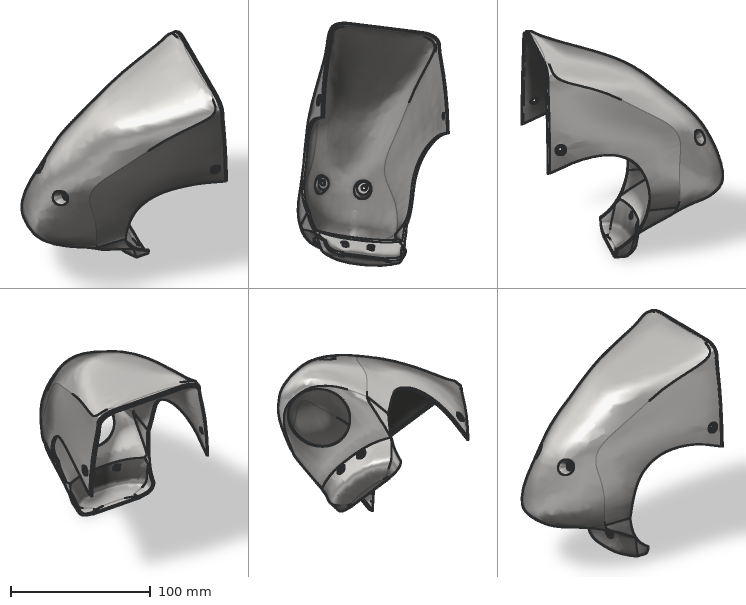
import cadquery as cq
import math

WALL = 1.6
LIP_LENGTH = 1.6
LIP_STEP = 0.8
SIDE_SHARE = 0.6
FRONT_SHARES = (0, 0.3, 0.6, 0.85, 1)
REACH = 318.3

HOOD_AND_NOSE = [
    (159.1, -4.1, 25.5, -2.4, 27.0, 0.0, 3.0),
    (156.9, -12.7, 36.0, -4.8, 37.0, 0.0, 3.0),
    (148.8, -38.7, 39.8, -12.7, 41.0, 0.2, 2.8),
    (135.7, -73.2, 35.5, -43.0, 42.8, 1.1, 2.5),
    (116.2, -97.2, 31.2, -74.2, 45.4, 4.5, 2.3),
    (93.1, -120.2, 28.6, -99.8, 47.0, 6.7, 2.0),
    (74.8, -130.5, 34.5, -99.0, 47.6, 3.8, 2.2),
    (58.1, -136.2, 37.5, -98.5, 46.8, 1.8, 2.6),
    (48.5, -136.5, 37.4, -98.5, 44.5, 0.5, 2.7),
    (41.5, -130.7, 35.8, -96.8, 41.4, 0.0, 2.7),
]
UNDERSIDE = [
    (36.6, -107.4, 35.6, -93.1, 39.8, 0.0, 2.6),
    (29.6, -85.5, 34.7, -80.4, 38.2, 0.0, 2.6),
    (22.5, -75.1, 33.4, -68.5, 35.0, 0.0, 2.6),
]
CHIN = [
    (17.8, -74.3, 32.1, -66.5, 33.4, 0.0, 2.6),
    (12.7, -73.7, 31.0, -65.2, 31.5, 0.0, 2.6),
    (4.8, -72.4, 28.6, -62.9, 29.0, 0.0, 2.6),
    (1.6, -68.7, 24.3, -60.5, 24.8, 0.0, 2.6),
    (0.0, -58.1, 19.1, -55.7, 19.9, 0.0, 2.6),
]
STATIONS = HOOD_AND_NOSE + UNDERSIDE + CHIN
NOSE_END = len(HOOD_AND_NOSE) - 1
CHIN_START = NOSE_END + len(UNDERSIDE)
STRETCHES = [(0, NOSE_END), (NOSE_END, CHIN_START), (CHIN_START, len(STATIONS) - 1)]

ARCH_BACK = (0.0, 80.5)
ARCH_START = (-17.3, 87.5)
ARCH_CURVE = [(-37.9, 91.2), (-53.6, 88.5), (-67.6, 77.7), (-76.0, 50.6), (-71.5, 29.0), (-54.3, 10.0)]
CHIN_BACK_Y = ARCH_CURVE[-1][0]

OPENING_DIAMETER = 45.0
OPENING_CENTRE = (0, -108.5, 36.3)
OPENING_DEPTH = 14.3

SCREW_HOLE_DIAMETER = 3.5
SEAT_FLOOR_DIAMETER = 6.0
SEAT_MOUTH_DIAMETER = 8.3
SEAT_DEPTH = 1.3
NOSE_SEAT_FLOOR = (15.5, -112.7, 85.1)
NOSE_SEAT_AXIS = (0.4, -1, 0.36)
NOSE_SEAT_MOUTH_DIAMETER = 13.7
NOSE_SEAT_DEPTH = 7.2
CHIN_SEAT_FLOOR = (10.0, -73.2, 17.8)
SIDE_SEAT_FLOOR = (46.3, -9.2, 98.7)


def section(station, inset, shift_y, shift_z):
    """U-shaped wire of one station, narrowed by inset and moved by the two shifts."""
    height, front_y, shoulder_x, shoulder_y, back_x, bulge, fullness = station
    side_x = back_x + SIDE_SHARE * (shoulder_x - back_x) + bulge - inset
    side_y = SIDE_SHARE * shoulder_y + shift_y
    shoulder_x -= inset
    back_x -= inset

    def point(x, y):
        return cq.Vector(x, y, height + shift_z)

    half_front = []
    for share in FRONT_SHARES:
        forward = (front_y - shoulder_y) * (1 - share**fullness)
        half_front.append((share * shoulder_x, shoulder_y + shift_y + forward))
    right_front = [point(x, y) for x, y in half_front]
    left_front = [point(-x, y) for x, y in half_front[:0:-1]]
    left_back = point(-back_x, 0)
    right_back = point(back_x, 0)
    return cq.Wire.assembleEdges([
        cq.Edge.makeLine(right_back, left_back),
        cq.Edge.makeSpline([left_back, point(-side_x, side_y), left_front[0]]),
        cq.Edge.makeSpline(left_front + right_front),
        cq.Edge.makeSpline([right_front[-1], point(side_x, side_y), right_back]),
    ])


def body(inset):
    """Solid bounded by the outer skin moved inward by inset."""
    wires = []
    for index, station in enumerate(STATIONS):
        above = STATIONS[max(index - 1, 0)]
        below = STATIONS[min(index + 1, len(STATIONS) - 1)]
        along_y = below[1] - above[1]
        along_z = below[0] - above[0]
        length = math.hypot(along_y, along_z)
        wires.append(section(station, inset, -along_z / length * inset, along_y / length * inset))
    solid = cq.Workplane()
    for first, last in STRETCHES:
        solid = solid.add(cq.Solid.makeLoft(wires[first:last + 1]))
    return solid.combine()


def lip_cutter():
    """Ring that steps the skin in along its back edge."""
    slab = cq.Workplane().box(REACH, 2 * LIP_LENGTH, 2 * REACH)
    return slab.cut(body(LIP_STEP))


def arch_cutter():
    """Everything behind and below the wheel arch."""
    return (
        cq.Workplane("YZ")
        .moveTo(*ARCH_BACK)
        .lineTo(*ARCH_START)
        .spline(ARCH_CURVE, includeCurrent=True)
        .lineTo(CHIN_BACK_Y, -REACH)
        .lineTo(REACH, -REACH)
        .lineTo(REACH, ARCH_BACK[1])
        .close()
        .extrude(REACH, both=True)
    )


def opening_cutter():
    """Cylinder square to the sloping underside of the nose."""
    nose_edge = HOOD_AND_NOSE[-1]
    rear_edge = UNDERSIDE[1]
    axis = cq.Vector(0, nose_edge[0] - rear_edge[0], rear_edge[1] - nose_edge[1]).normalized()
    start = cq.Vector(*OPENING_CENTRE) - axis * (OPENING_DEPTH / 2)
    return cq.Solid.makeCylinder(OPENING_DIAMETER / 2, OPENING_DEPTH, start, axis)


def seat_cone(floor, axis, mouth_diameter, depth, margin=0.0):
    """Recess of a screw seat, or its backing cup when grown by a margin."""
    direction = cq.Vector(*axis).normalized()
    return cq.Solid.makeCone(
        SEAT_FLOOR_DIAMETER / 2 + margin,
        mouth_diameter / 2 + margin,
        depth + margin,
        cq.Vector(*floor) - direction * margin,
        direction,
    )


def screw_hole(floor, axis):
    direction = cq.Vector(*axis).normalized()
    length = 4 * WALL
    start = cq.Vector(*floor) - direction * (length / 2)
    return cq.Solid.makeCylinder(SCREW_HOLE_DIAMETER / 2, length, start, direction)


def both_sides(solid):
    return cq.Workplane(solid).add(solid.mirror("YZ"))


def cut_pair(part, solid):
    for cutter in both_sides(solid).vals():
        part = part.cut(cq.Workplane(cutter))
    return part


result = body(0).cut(lip_cutter()).cut(body(WALL)).cut(arch_cutter())
result = result.cut(cq.Workplane(opening_cutter()))

nose_cup = seat_cone(NOSE_SEAT_FLOOR, NOSE_SEAT_AXIS, NOSE_SEAT_MOUTH_DIAMETER, NOSE_SEAT_DEPTH, WALL)
for cup in both_sides(nose_cup).vals():
    result = result.union(cq.Workplane(cup).intersect(body(WALL / 2)))

seats = [
    (NOSE_SEAT_FLOOR, NOSE_SEAT_AXIS, (0, -1, 0), NOSE_SEAT_MOUTH_DIAMETER, NOSE_SEAT_DEPTH),
    (CHIN_SEAT_FLOOR, (0, -1, 0), (0, -1, 0), SEAT_MOUTH_DIAMETER, SEAT_DEPTH),
    (SIDE_SEAT_FLOOR, (1, 0, 0), (1, 0, 0), SEAT_MOUTH_DIAMETER, SEAT_DEPTH),
]
for floor, seat_axis, hole_axis, mouth_diameter, depth in seats:
    result = cut_pair(result, seat_cone(floor, seat_axis, mouth_diameter, depth))
    result = cut_pair(result, screw_hole(floor, hole_axis))